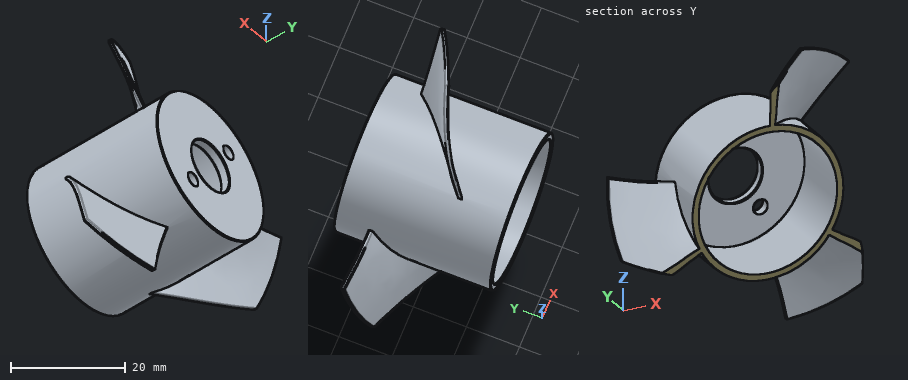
import cadquery as cq
import math

hub_length = 29.55
hub_radius = 14.75
cavity_radius = 13.45
plate_thickness = 2.0
edge_chamfer = 0.15
bore_radius = 5.2
bolt_hole_radius = 1.4
bolt_circle_radius = 8.5
bolt_angle = 125

blade_count = 3
tip_radius = 28.1
blade_root_radius = (hub_radius + cavity_radius) / 2
blade_pitch = 71.35
blade_axial_thickness = 0.85
blade_rear_depth = 23.35
trailing_angle = 45.5
trailing_middle_radius = 21.6
trailing_middle_angle = 46.2
leading_root_angle = 115.5
leading_middle_radius = 18.25
leading_middle_angle = 98
leading_tip_angle = 74
blade_edge_radius = 0.15
sheet_overrun_angle = 10
sheet_overrun = 1.1


def polar(radius, angle):
    """Point at a radius and an angle in degrees around the axis."""
    radians = math.radians(angle)
    return (radius * math.cos(radians), radius * math.sin(radians))


def make_hub():
    """Cup with its open rim at z = 0 and its end plate at the lowest z."""
    hub = cq.Workplane("XY").circle(hub_radius).extrude(-hub_length)
    cavity = cq.Workplane("XY").circle(cavity_radius).extrude(plate_thickness - hub_length)
    bore = cq.Workplane("XY").circle(bore_radius).extrude(-hub_length)
    hub = hub.cut(cavity).cut(bore)
    plate_depth = hub_length - plate_thickness
    floor_reach = (bore_radius + cavity_radius) / 2
    bore_mouth = cq.selectors.BoxSelector(
        (-floor_reach, -floor_reach, -plate_depth - edge_chamfer),
        (floor_reach, floor_reach, -plate_depth + edge_chamfer),
        boundingbox=True,
    )
    hub = hub.edges(bore_mouth).chamfer(edge_chamfer)
    hub = hub.faces("<Z or >Z").edges().chamfer(edge_chamfer)
    bolt_centers = [polar(bolt_circle_radius, bolt_angle + turn) for turn in (0, 180)]
    bolt_holes = cq.Workplane("XY").pushPoints(bolt_centers).circle(bolt_hole_radius).extrude(-hub_length)
    return hub.cut(bolt_holes)


def make_helical_sheet():
    """Twist a thin sector about Z so that its axial thickness is constant."""
    half_sector = 180 * blade_axial_thickness / blade_pitch
    twist = leading_root_angle - trailing_angle + 2 * sheet_overrun_angle
    start_angle = trailing_angle - sheet_overrun_angle
    middle_depth = blade_rear_depth - blade_axial_thickness / 2
    start_depth = middle_depth + blade_pitch * sheet_overrun_angle / 360
    inner_radius = blade_root_radius - sheet_overrun
    outer_radius = tip_radius + sheet_overrun
    return (
        cq.Workplane("XY", origin=(0, 0, -start_depth))
        .moveTo(*polar(inner_radius, start_angle - half_sector))
        .lineTo(*polar(outer_radius, start_angle - half_sector))
        .lineTo(*polar(outer_radius, start_angle + half_sector))
        .lineTo(*polar(inner_radius, start_angle + half_sector))
        .close()
        .twistExtrude(blade_pitch * twist / 360, twist)
    )


def make_blade_trim():
    """Prism with the blade's outline: near-radial trailing edge and curved leading edge."""
    tip_middle_angle = (trailing_angle + leading_tip_angle) / 2
    root_middle_angle = (trailing_angle + leading_root_angle) / 2
    return (
        cq.Workplane("XY")
        .moveTo(*polar(blade_root_radius, trailing_angle))
        .threePointArc(
            polar(trailing_middle_radius, trailing_middle_angle),
            polar(tip_radius, trailing_angle),
        )
        .threePointArc(polar(tip_radius, tip_middle_angle), polar(tip_radius, leading_tip_angle))
        .threePointArc(
            polar(leading_middle_radius, leading_middle_angle),
            polar(hub_radius, leading_root_angle),
        )
        .lineTo(*polar(blade_root_radius, leading_root_angle))
        .threePointArc(
            polar(blade_root_radius, root_middle_angle),
            polar(blade_root_radius, trailing_angle),
        )
        .close()
        .extrude(-hub_length)
    )


blade = make_helical_sheet().intersect(make_blade_trim()).edges().fillet(blade_edge_radius)
fan = make_hub()
for index in range(blade_count):
    fan = fan.union(blade.rotate((0, 0, 0), (0, 0, 1), index * 360 / blade_count))

result = fan.rotate((0, 0, 0), (1, 0, 0), 90)